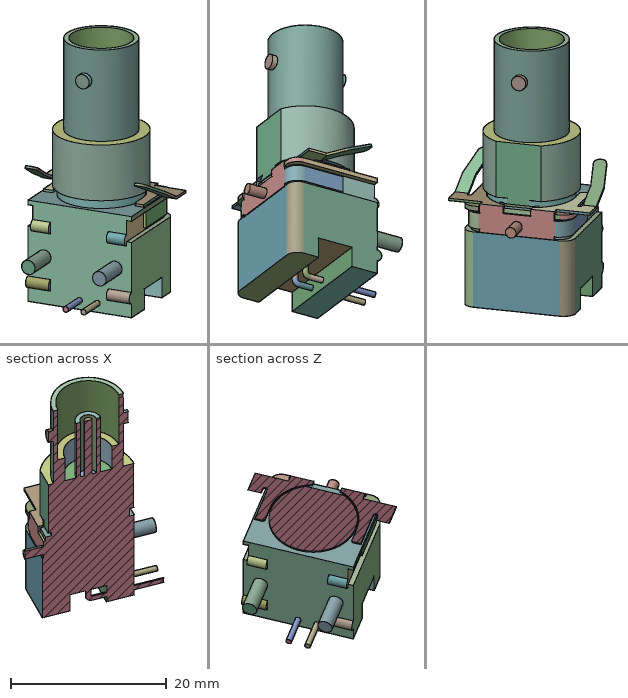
import cadquery as cq
import math


body_half_width = 7.41
body_front = -6.3
body_back = 6.3
body_corner_radius = 1.59
lower_body_top = 10.22
body_top = 13.73
flange_bottom = 13.09
waist_half_width = 6.71
waist_back = 5.89
waist_corner_radius = 1.57
channel_front = -2.5
channel_back = 2.5
channel_height = 2.77

overall_height = 34.92
neck_radius = 5.7
collar_bottom = 14.97
collar_top = 22.53
collar_radius = 6.27
collar_back_flat = 5.5
neck_relief_back = 5.05
neck_relief_top = 14.2
barrel_radius = 4.83
bore_radius = 4.17
bore_depth = 8.5
inner_bore_radius = 3.19
insulator_radius = 1.69
insulator_bore_radius = 1.07
contact_radius = 0.53
insulator_top = 31.83
bayonet_radius = 0.97
bayonet_span = 11.0
bayonet_height = 30.66

rib_height = 1.56
rib_projection = 0.68
rib_inner_x = 4.14
lower_rib_center = 2.67
upper_rib_center = 10.43

post_radius = 0.97
post_spacing = 10.16
post_height = 6.37
post_end = -10.91
rear_post_radius = 0.71
rear_post_height = 11.48
rear_post_end = 8.7
pin_radius = 0.38
pin_pitch = 2.54
pin_height = 1.27
pin_end = -10.35
pin_bend_radius = 0.6

sheet = 0.33
clip_half_width = 9.525
clip_wing_back = 5.25
clip_back = 6.19
clip_tab_half_width = 5.03
tab_clearance = 0.12
clip_leg_end = -2.31
clip_leg_half_width = 7.16
clip_leg_corner_radius = 0.35
clip_opening_radius = 5.83
clip_notch_half_width = 1.86
clip_slot_width = 0.58
clip_slot_end = 3.2
band_bottom = 10.63
band_top = 12.79
band_end = -1.4
arm_hinge_y = 2.47
arm_tilt = 27.0
arm_knee_y = -0.75
arm_tip_y = -5.07
arm_taper = 12.7
arm_tip_radius = 0.75


def box(x_min, x_max, y_min, y_max, z_min, z_max):
    return cq.Workplane("XY").box(
        x_max - x_min, y_max - y_min, z_max - z_min, centered=False
    ).translate((x_min, y_min, z_min))


def cylinder_z(radius, z_min, z_max):
    return cq.Workplane("XY").workplane(offset=z_min).circle(radius).extrude(z_max - z_min)


def cylinder_y(radius, x, z, y_min, y_max):
    return (
        cq.Workplane("XZ", origin=(0, y_max, 0))
        .center(x, z)
        .circle(radius)
        .extrude(y_max - y_min)
    )


def rounded_block(half_width, y_min, y_max, corner_radius, z_min, z_max):
    block = box(-half_width, half_width, y_min, y_max, z_min, z_max)
    return block.edges("|Z and >Y").fillet(corner_radius)


def both_sides(shape):
    return shape.union(shape.mirror("YZ"))


def make_body():
    lower = rounded_block(
        body_half_width, body_front, body_back, body_corner_radius, 0, lower_body_top
    )
    channel = box(
        -body_half_width, body_half_width, channel_front, channel_back, 0, channel_height
    )
    waist = rounded_block(
        waist_half_width, body_front, waist_back, waist_corner_radius, lower_body_top, flange_bottom
    )
    flange = rounded_block(
        body_half_width, body_front, body_back, body_corner_radius, flange_bottom, body_top
    )
    tab_gap = clip_tab_half_width + tab_clearance
    flange_notch = box(-tab_gap, tab_gap, waist_back, body_back, flange_bottom, body_top)
    return lower.cut(channel).union(waist).union(flange.cut(flange_notch))


def make_ribs():
    ribs = None
    for center_z, outer_x in (
        (lower_rib_center, body_half_width),
        (upper_rib_center, waist_half_width),
    ):
        bottom = center_z - rib_height / 2
        top = center_z + rib_height / 2
        rib = (
            cq.Workplane("YZ", origin=(rib_inner_x, 0, 0))
            .moveTo(body_front, bottom)
            .threePointArc((body_front - rib_projection, center_z), (body_front, top))
            .close()
            .extrude(outer_x - rib_inner_x)
        )
        pair = both_sides(rib)
        ribs = pair if ribs is None else ribs.union(pair)
    return ribs


def make_barrel():
    neck = cylinder_z(neck_radius, body_top, collar_bottom)
    collar = cylinder_z(collar_radius, collar_bottom, collar_top)
    barrel = cylinder_z(barrel_radius, collar_top, overall_height)
    bayonet = cylinder_y(bayonet_radius, 0, bayonet_height, -bayonet_span / 2, bayonet_span / 2)

    back_flat = box(
        -collar_radius, collar_radius, collar_back_flat, collar_radius, body_top, collar_top
    )
    neck_relief = box(
        -neck_radius, neck_radius, neck_relief_back, neck_radius, body_top, neck_relief_top
    )
    bore = cylinder_z(bore_radius, overall_height - bore_depth, overall_height)
    inner_bore = cylinder_z(inner_bore_radius, collar_top, overall_height)

    insulator = cylinder_z(insulator_radius, collar_top, insulator_top)
    insulator_bore = cylinder_z(insulator_bore_radius, collar_top, insulator_top)
    contact = cylinder_z(contact_radius, collar_top, insulator_top)

    shell = neck.union(collar).cut(back_flat).cut(neck_relief)
    shell = shell.union(barrel).union(bayonet).cut(bore).cut(inner_bore)
    return shell.union(insulator.cut(insulator_bore)).union(contact)


def make_clip_plate():
    plate_top = body_top + sheet
    plate = box(
        -clip_leg_half_width, clip_leg_half_width, clip_leg_end, clip_wing_back, body_top, plate_top
    )
    plate = plate.union(
        box(-clip_tab_half_width, clip_tab_half_width, 0, clip_back, body_top, plate_top)
    )
    plate = plate.cut(cylinder_z(clip_opening_radius, body_top, plate_top))
    plate = plate.cut(
        box(-clip_opening_radius, clip_opening_radius, clip_leg_end, 0, body_top, plate_top)
    )
    leg_corners = cq.selectors.BoxSelector(
        (-clip_opening_radius - sheet, clip_leg_end - sheet, body_top - sheet),
        (clip_opening_radius + sheet, clip_leg_end + sheet, plate_top + sheet),
    )
    plate = plate.edges("|Z").edges(leg_corners).fillet(clip_leg_corner_radius)

    wing = box(
        clip_leg_half_width, clip_half_width, arm_hinge_y, clip_wing_back, body_top, plate_top
    )
    plate = plate.union(both_sides(wing))
    slot_radius = clip_slot_width / 2
    slot_x = clip_leg_half_width + slot_radius
    slot_center_y = clip_slot_end - slot_radius
    slot = box(
        clip_leg_half_width,
        clip_leg_half_width + clip_slot_width,
        clip_leg_end,
        slot_center_y,
        body_top,
        plate_top,
    )
    slot = slot.union(cylinder_z(slot_radius, body_top, plate_top).translate((slot_x, slot_center_y, 0)))
    notch = box(
        -clip_notch_half_width, clip_notch_half_width, neck_relief_back, clip_back, body_top, plate_top
    )
    return plate.cut(both_sides(slot)).cut(notch)


def make_spring_arms():
    stretch = 1 / math.cos(math.radians(arm_tilt))
    inner_x = clip_leg_half_width + clip_slot_width
    knee = (arm_knee_y - arm_hinge_y) * stretch
    tip = (arm_tip_y - arm_hinge_y) * stretch
    tip_shift = (arm_knee_y - arm_tip_y) * math.tan(math.radians(arm_taper))
    arm = (
        cq.Workplane("XY")
        .polyline([
            (inner_x, 0),
            (clip_half_width, 0),
            (clip_half_width, knee),
            (clip_half_width - tip_shift, tip),
            (inner_x - tip_shift, tip),
            (inner_x, knee),
        ])
        .close()
        .extrude(sheet)
        .edges("|Z and <Y")
        .fillet(arm_tip_radius)
        .rotate((0, 0, 0), (1, 0, 0), -arm_tilt)
        .translate((0, arm_hinge_y, body_top))
    )
    return both_sides(arm)


def make_clip_band():
    tab = box(
        -clip_tab_half_width,
        clip_tab_half_width,
        clip_back - sheet,
        clip_back,
        lower_body_top,
        body_top,
    )
    tab_notch = box(
        -clip_notch_half_width,
        clip_notch_half_width,
        clip_back - sheet,
        clip_back,
        flange_bottom,
        body_top,
    )
    band = rounded_block(
        waist_half_width + sheet,
        band_end,
        clip_back,
        waist_corner_radius + sheet,
        band_bottom,
        band_top,
    )
    waist_space = rounded_block(
        waist_half_width, band_end, clip_back - sheet, waist_corner_radius, band_bottom, band_top
    )
    return tab.cut(tab_notch).union(band.cut(waist_space))


def make_posts():
    front_post = cylinder_y(post_radius, post_spacing / 2, post_height, post_end, body_front)
    rear_post = cylinder_y(rear_post_radius, 0, rear_post_height, waist_back, rear_post_end)
    return both_sides(front_post).union(rear_post)


def make_pin(x):
    bend_y = -pin_bend_radius
    bend_z = pin_height + pin_bend_radius
    diagonal = pin_bend_radius * math.sqrt(0.5)
    path = (
        cq.Workplane("YZ", origin=(x, 0, 0))
        .moveTo(pin_end, pin_height)
        .lineTo(bend_y, pin_height)
        .threePointArc((bend_y + diagonal, bend_z - diagonal), (0, bend_z))
        .lineTo(0, channel_height)
    )
    section = cq.Workplane("XZ", origin=(x, pin_end, pin_height)).circle(pin_radius)
    return section.sweep(path)


result = make_body().union(make_ribs()).union(make_barrel())
result = result.union(make_clip_plate()).union(make_spring_arms()).union(make_clip_band())
result = result.union(make_posts())
for pin_x in (0, pin_pitch):
    result = result.union(make_pin(pin_x))